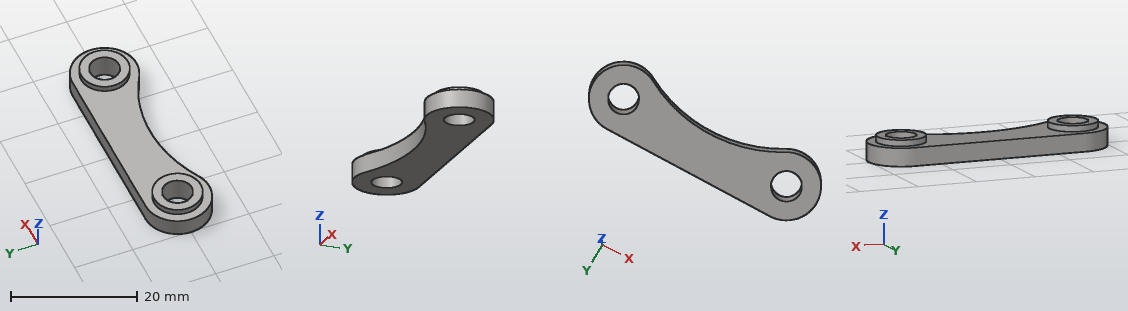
import cadquery as cq
import math

hole_spacing = 29.35
end_radius = 5.5
plate_thickness = 3.0
boss_diameter = 8.0
boss_height = 1.0
hole_diameter = 4.9
waist_radius = 24.0

eye_x = hole_spacing / 2
total_height = plate_thickness + boss_height
eye_centers = [(-eye_x, 0), (eye_x, 0)]

center_distance = waist_radius + end_radius
waist_center_y = -math.sqrt(center_distance**2 - eye_x**2)
waist_top_y = waist_center_y + waist_radius

tangent_x = eye_x * waist_radius / center_distance
tangent_y = waist_center_y * end_radius / center_distance


def make_plate():
    """Link plate with a straight +Y edge, rounded ends and a concave -Y edge."""
    end_x = eye_x + end_radius
    return (
        cq.Workplane("XY")
        .moveTo(-eye_x, end_radius)
        .lineTo(eye_x, end_radius)
        .threePointArc((end_x, 0), (tangent_x, tangent_y))
        .threePointArc((0, waist_top_y), (-tangent_x, tangent_y))
        .threePointArc((-end_x, 0), (-eye_x, end_radius))
        .close()
        .extrude(plate_thickness)
    )


def eye_cylinders(diameter):
    """Full-height cylinders at both eyes."""
    return cq.Workplane("XY").pushPoints(eye_centers).circle(diameter / 2).extrude(total_height)


plate = make_plate()
bosses = eye_cylinders(boss_diameter)
holes = eye_cylinders(hole_diameter)

result = plate.union(bosses).cut(holes)